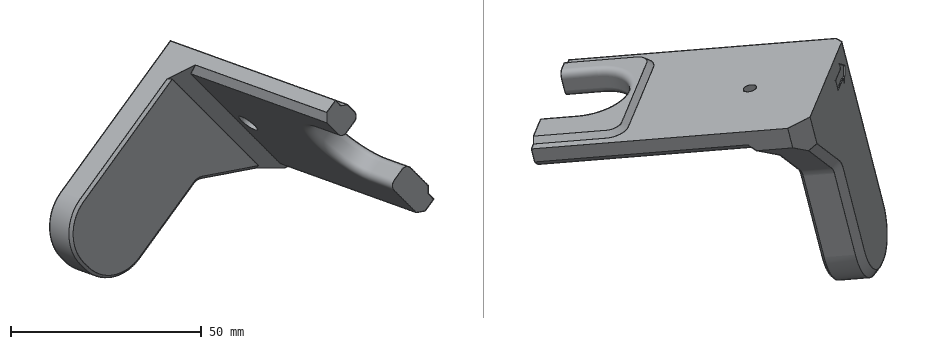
import cadquery as cq

TILT_ANGLE = -45.0

PLATE_LENGTH = 75.6
PLATE_WIDTH = 45.0
PLATE_THICKNESS = 6.0
PLATE_CHAMFER = 2.0
CORNER_CUT = 5.0

ARM_LENGTH = 62.6
ARM_WIDTH = 27.1
ARM_THICKNESS = 11.4
ARM_END_RADIUS = 12.5
ARM_NECK_RADIUS = 3.0
ARM_OUTER_CHAMFER = 2.0
ARM_INNER_CHAMFER = 0.8

GUSSET_REACH = 15.0

PAD_LENGTH = 25.0
PAD_MARGIN = 2.5
PAD_HEIGHT = 1.5
PAD_CORNER_RADIUS = 5.0

SLOT_RADIUS = 10.9
SLOT_CENTER_X = 65.5
SLOT_CENTER_Y = 20.0
SLOT_RIM_RADIUS = 2.0
RIM_SEARCH_MARGIN = 0.5

HOLE_X = 20.6
HOLE_DIAMETER = 3.5
COUNTERBORE_DIAMETER = 6.0
COUNTERBORE_DEPTH = 3.0

ARROW_TIP_Y = 4.0
ARROW_HEAD_LENGTH = 4.0
ARROW_HEAD_WIDTH = 6.0
ARROW_SHAFT_LENGTH = 6.0
ARROW_SHAFT_WIDTH = 3.0
ARROW_AXIS_Z = -6.1
ARROW_DEPTH = 0.4


def make_arm_blank(thickness):
    """Arm profile, widening at 45 degrees to the full plate width."""
    neck_z = -PLATE_THICKNESS - (PLATE_WIDTH - ARM_WIDTH)
    blank = (
        cq.Workplane("YZ")
        .moveTo(0, 0)
        .lineTo(PLATE_WIDTH, 0)
        .lineTo(PLATE_WIDTH, -PLATE_THICKNESS)
        .lineTo(ARM_WIDTH, neck_z)
        .lineTo(ARM_WIDTH, -ARM_LENGTH)
        .lineTo(0, -ARM_LENGTH)
        .close()
        .extrude(thickness)
    )
    blank = blank.edges("|X and <Z").fillet(ARM_END_RADIUS)
    neck_edge = cq.selectors.NearestToPointSelector((thickness / 2, ARM_WIDTH, neck_z))
    return blank.edges(neck_edge).fillet(ARM_NECK_RADIUS)


def make_arm():
    """Arm with bevelled rims, left sharp along the plate top and the far plate edge."""
    arm = make_arm_blank(ARM_THICKNESS)
    arm = arm.faces("<X").edges("not(>Z or >Y)").chamfer(ARM_OUTER_CHAMFER)
    arm = arm.faces(">X").edges("not(>Z or >Y)").chamfer(ARM_INNER_CHAMFER)
    corner = (
        cq.Workplane("XY")
        .moveTo(0, PLATE_WIDTH)
        .lineTo(CORNER_CUT, PLATE_WIDTH)
        .lineTo(0, PLATE_WIDTH - CORNER_CUT)
        .close()
        .extrude(-ARM_LENGTH)
    )
    return arm.cut(corner)


def make_gusset(start_x):
    """45 degree wedge under the plate, trimmed to the outline of the arm."""
    apex_x = GUSSET_REACH + PLATE_THICKNESS
    wedge = (
        cq.Workplane("XZ")
        .moveTo(start_x, 0)
        .lineTo(apex_x, 0)
        .lineTo(start_x, start_x - apex_x)
        .close()
        .extrude(-PLATE_WIDTH)
    )
    return wedge.intersect(make_arm_blank(apex_x))


def make_plate(start_x):
    """Flat plate with both lower long edges chamfered."""
    plate = cq.Workplane("XY").box(
        PLATE_LENGTH - start_x, PLATE_WIDTH, PLATE_THICKNESS, centered=False
    )
    plate = plate.translate((start_x, 0, -PLATE_THICKNESS))
    return plate.edges("|X and <Z").chamfer(PLATE_CHAMFER)


def make_pad():
    """Raised pad with 45 degree sides, flush with the open end of the plate."""
    pad = cq.Workplane("XY").box(
        PAD_LENGTH, PLATE_WIDTH - 2 * PAD_MARGIN, 2 * PAD_HEIGHT, centered=False
    )
    pad = pad.translate((PLATE_LENGTH - PAD_LENGTH, PAD_MARGIN, -PAD_HEIGHT))
    pad = pad.edges("|Z and <X").fillet(PAD_CORNER_RADIUS)
    return pad.faces(">Z").edges("not >X").chamfer(PAD_HEIGHT)


def cut_slot(body):
    """Open-ended slot with rounded rims above and below."""
    depth = PLATE_THICKNESS + PAD_HEIGHT
    run = PLATE_LENGTH - SLOT_CENTER_X
    plane = cq.Workplane("XY", origin=(SLOT_CENTER_X, SLOT_CENTER_Y, -PLATE_THICKNESS))
    slot = (
        plane.moveTo(run, SLOT_RADIUS)
        .lineTo(0, SLOT_RADIUS)
        .threePointArc((-SLOT_RADIUS, 0), (0, -SLOT_RADIUS))
        .lineTo(run, -SLOT_RADIUS)
        .close()
        .extrude(depth)
    )
    body = body.cut(slot)
    reach = SLOT_RADIUS + RIM_SEARCH_MARGIN
    for rim_z in (-PLATE_THICKNESS, PAD_HEIGHT):
        rim = cq.selectors.BoxSelector(
            (SLOT_CENTER_X - reach, SLOT_CENTER_Y - reach, rim_z - RIM_SEARCH_MARGIN),
            (PLATE_LENGTH - RIM_SEARCH_MARGIN, SLOT_CENTER_Y + reach, rim_z + RIM_SEARCH_MARGIN),
        )
        body = body.edges(rim).fillet(SLOT_RIM_RADIUS)
    return body


def make_hole():
    """Through hole with a counterbore on the underside."""
    plane = cq.Workplane("XY", origin=(HOLE_X, PLATE_WIDTH / 2, -PLATE_THICKNESS))
    through = plane.circle(HOLE_DIAMETER / 2).extrude(PLATE_THICKNESS)
    counterbore = plane.circle(COUNTERBORE_DIAMETER / 2).extrude(COUNTERBORE_DEPTH)
    return through.union(counterbore)


def make_arrow():
    """Arrow-shaped recess."""
    head_base_y = ARROW_TIP_Y + ARROW_HEAD_LENGTH
    tail_y = head_base_y + ARROW_SHAFT_LENGTH
    return (
        cq.Workplane("YZ", origin=(0, 0, ARROW_AXIS_Z))
        .moveTo(ARROW_TIP_Y, 0)
        .lineTo(head_base_y, ARROW_HEAD_WIDTH / 2)
        .lineTo(head_base_y, ARROW_SHAFT_WIDTH / 2)
        .lineTo(tail_y, ARROW_SHAFT_WIDTH / 2)
        .lineTo(tail_y, -ARROW_SHAFT_WIDTH / 2)
        .lineTo(head_base_y, -ARROW_SHAFT_WIDTH / 2)
        .lineTo(head_base_y, -ARROW_HEAD_WIDTH / 2)
        .close()
        .extrude(ARROW_DEPTH)
    )


joint_x = ARM_THICKNESS - ARM_INNER_CHAMFER

plate = cut_slot(make_plate(joint_x).union(make_pad()))
bracket = plate.union(make_gusset(joint_x)).union(make_arm())
bracket = bracket.cut(make_hole()).cut(make_arrow())

result = bracket.rotate((0, 0, 0), (1, 0, 0), TILT_ANGLE)